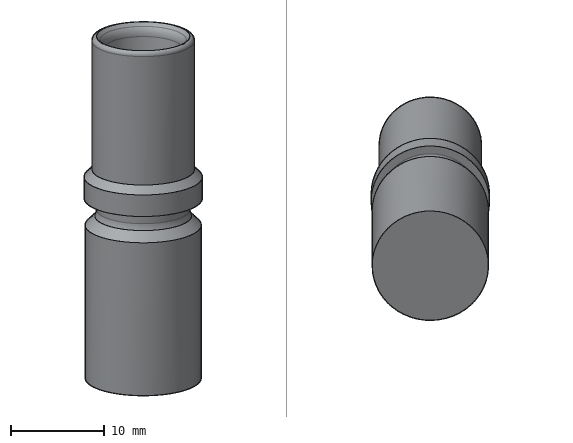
import cadquery as cq
import math

length = 38.45
body_radius = 6.23
collar_radius = 6.35
tube_radius = 5.5
groove_radius = 5.0
body_top = 17.23
collar_bottom = 20.22
collar_height = 3.25
collar_chamfer = collar_radius - tube_radius

rim_fillet = 0.5
groove_top_fillet = 0.45
groove_bottom_fillet = 1.0
shoulder_height = 1.05

mouth_chamfer = 0.4
mouth_round = 1.42
taper_end_radius = 3.9
taper_end_depth = 4.65
bore_depth = 11.55
tip_angle = 118.0

DIAGONAL = math.sqrt(0.5)


def outer_body():
    """Revolved outside: plain body, neck groove, collar and tube."""
    shoulder_radius = body_radius - shoulder_height
    shoulder_top = body_top + shoulder_height
    collar_top = collar_bottom + collar_height
    neck_bottom = shoulder_top + groove_bottom_fillet * DIAGONAL
    half_turn = math.pi / 8
    lower_mid = (
        groove_radius + groove_bottom_fillet * (1 - math.cos(half_turn)),
        neck_bottom - groove_bottom_fillet * math.sin(half_turn),
    )
    upper_mid = (
        groove_radius + groove_top_fillet * (1 - DIAGONAL),
        collar_bottom - groove_top_fillet * (1 - DIAGONAL),
    )
    rim_mid = (
        tube_radius - rim_fillet * (1 - DIAGONAL),
        length - rim_fillet * (1 - DIAGONAL),
    )
    profile = (
        cq.Workplane("XZ")
        .lineTo(body_radius, 0)
        .lineTo(body_radius, body_top)
        .lineTo(shoulder_radius, shoulder_top)
        .threePointArc(lower_mid, (groove_radius, neck_bottom))
        .lineTo(groove_radius, collar_bottom - groove_top_fillet)
        .threePointArc(upper_mid, (groove_radius + groove_top_fillet, collar_bottom))
        .lineTo(collar_radius, collar_bottom)
        .lineTo(collar_radius, collar_top - collar_chamfer)
        .lineTo(tube_radius, collar_top)
        .lineTo(tube_radius, length - rim_fillet)
        .threePointArc(rim_mid, (tube_radius - rim_fillet, length))
        .lineTo(0, length)
        .close()
    )
    return profile.revolve(360, (0, 0, 0), (0, 1, 0))


def bore():
    """Revolved cavity: chamfered mouth, rounded throat, taper, cylinder and conical tip."""
    mouth_radius = tube_radius - rim_fillet
    chamfer_radius = mouth_radius - mouth_chamfer
    throat_radius = chamfer_radius - mouth_round * (1 - DIAGONAL)
    throat_depth = mouth_chamfer + mouth_round * DIAGONAL
    half_turn = math.pi / 8
    throat_mid = (
        throat_radius + mouth_round * (1 - math.cos(half_turn)),
        length - throat_depth + mouth_round * math.sin(half_turn),
    )
    tip_depth = bore_depth + taper_end_radius / math.tan(math.radians(tip_angle / 2))
    profile = (
        cq.Workplane("XZ")
        .moveTo(0, length)
        .lineTo(mouth_radius, length)
        .lineTo(chamfer_radius, length - mouth_chamfer)
        .threePointArc(throat_mid, (throat_radius, length - throat_depth))
        .lineTo(taper_end_radius, length - taper_end_depth)
        .lineTo(taper_end_radius, length - bore_depth)
        .lineTo(0, length - tip_depth)
        .close()
    )
    return profile.revolve(360, (0, 0, 0), (0, 1, 0))


result = outer_body().cut(bore())